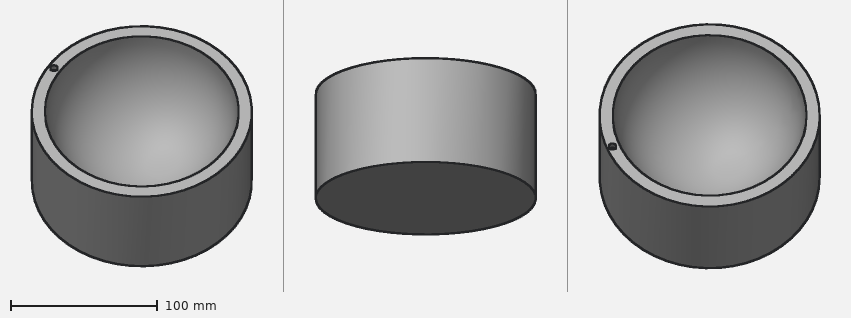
import cadquery as cq

outer_diameter = 150.0
height = outer_diameter / 2

bowl_diameter = 132.0

pin_hole_diameter = 5.0
pin_hole_depth = 5.0
pin_hole_offset = 71.0


def make_block():
    return cq.Workplane("XY").circle(outer_diameter / 2).extrude(height)


def make_bowl():
    return cq.Workplane("XY").sphere(bowl_diameter / 2).translate((0, 0, height))


def make_pin_hole():
    return (
        cq.Workplane("XY", origin=(-pin_hole_offset, 0, height))
        .circle(pin_hole_diameter / 2)
        .extrude(-pin_hole_depth)
    )


result = make_block().cut(make_bowl()).cut(make_pin_hole())